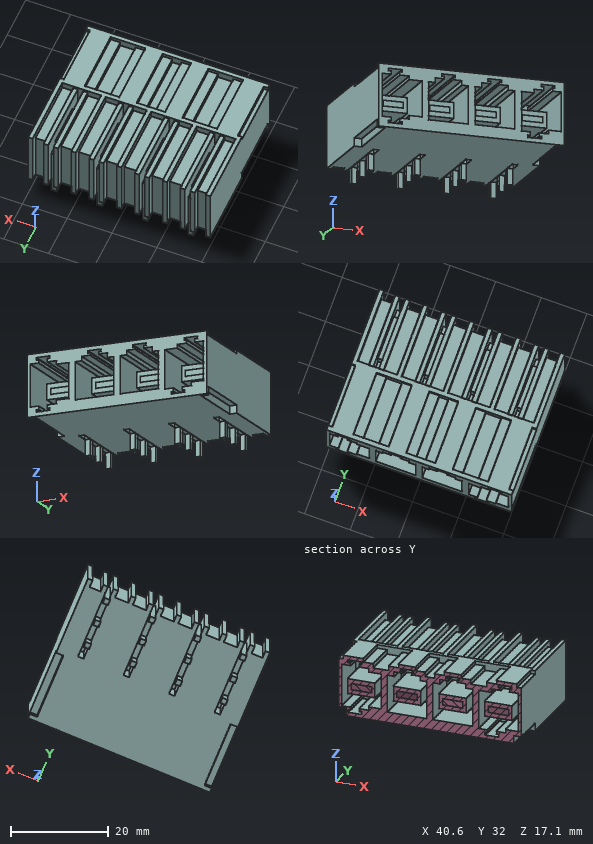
import cadquery as cq
width = 40.65
length = 32.0
height = 13.6
total_height = 17.1
pitch = 10.15
pole_count = 4
wall = 1.0
top = height / 2
bottom = -height / 2

recess_start = wall
recess_end = 15.0
shelf_depth = 0.77
trough_depth = 1.75
side_recess_width = 0.95
bottom_recess_width = 1.63
bottom_recess_height = 1.75
centre_shelf_width = 6.35
centre_trough_width = 2.05
side_shelf_inner = 7.05
side_shelf_outer = 14.75
side_trough_inner = 9.2
side_trough_outer = 12.6

chamber_end = recess_end
chamber_half_width = 4.35
chamber_roof = 3.85
inner_step_roof = 4.85
inner_step_half_width = 2.9
inner_floor = -4.35
outer_step_roof = 4.65
outer_step_edge = 1.6
coding_neck_width = 1.95
coding_head_width = 2.95
coding_head_base = 5.35
coding_head_top = 5.85
outer_coding_offset = -1.45

collar_width = 6.15
collar_height = 3.4
collar_tip = 5.45

rear_start = recess_end + wall
well_depth = 1.55
rib_drop = 0.5
core_end = length - 1.55

plate_thickness = 1.2
blade_width = 4.45
blade_thickness = 1.25
blade_tip = collar_tip
plate_back = length - 1.7
shoulder_start = length - 3.7
plate_front = length - 13.13
plate_top = 3.25
shoulder_top = 1.63
pin_size = 1.18
pin_length = total_height - height
pin_spacing = 5.05
pin_count = 3

pole_positions = [(i - (pole_count - 1) / 2) * pitch for i in range(pole_count)]


def block(x_range, y_range, z_range):
    """Box spanning the given (low, high) range on each axis."""
    spans = [high - low for low, high in (x_range, y_range, z_range)]
    return cq.Workplane("XY").box(*spans, centered=False).translate((x_range[0], y_range[0], z_range[0]))


def centred(width_across, middle=0.0):
    """Range of the given width about a middle value."""
    return (middle - width_across / 2, middle + width_across / 2)


def coding_slot(middle):
    """T-shaped coding slot above the chamber, centred on the given X."""
    depth = (0, chamber_end)
    neck = block(centred(coding_neck_width, middle), depth, (chamber_roof, coding_head_base))
    head = block(centred(coding_head_width, middle), depth, (coding_head_base, coding_head_top))
    return neck.union(head)


def inner_chamber():
    """Chamber of the two middle poles: a flat floor and a centred step in the roof."""
    depth = (0, chamber_end)
    main = block(centred(2 * chamber_half_width), depth, (inner_floor, chamber_roof))
    step = block(centred(2 * inner_step_half_width), depth, (chamber_roof, inner_step_roof))
    return main.union(step).union(coding_slot(0))


def outer_chamber_half():
    """Upper half of an end pole's chamber, with the step and coding slot on the -X side."""
    depth = (0, chamber_end)
    main = block(centred(2 * chamber_half_width), depth, (0, chamber_roof))
    step = block((-chamber_half_width, outer_step_edge), depth, (chamber_roof, outer_step_roof))
    return main.union(step).union(coding_slot(outer_coding_offset))


def chambers():
    """Chambers of all poles; the last one has its upper half mirrored left to right."""
    upper = outer_chamber_half()
    lower = upper.mirror("XY")
    first = upper.union(lower)
    last = upper.mirror("YZ").union(lower)
    shapes = [first] + [inner_chamber()] * (pole_count - 2) + [last]
    return [shape.translate((x, 0, 0)) for shape, x in zip(shapes, pole_positions)]


def outside_recesses():
    """Stepped recesses in the top face and the notches along the side edges."""
    span = (recess_start, recess_end)
    shelf = (top - shelf_depth, top)
    trough = (top - trough_depth, top)
    cuts = [
        block(centred(centre_shelf_width), span, shelf),
        block(centred(centre_trough_width), span, trough),
    ]
    right_cuts = [
        block((side_shelf_inner, side_shelf_outer), span, shelf),
        block((side_trough_inner, side_trough_outer), span, trough),
        block((width / 2 - side_recess_width, width / 2), span, shelf),
        block((width / 2 - bottom_recess_width, width / 2), span, (bottom, bottom + bottom_recess_height)),
    ]
    for cut in right_cuts:
        cuts += [cut, cut.mirror("YZ")]
    return cuts


def rear_ribs():
    """Walls between the poles and a pair of slightly lower ribs along each contact slot."""
    full = (rear_start, length)
    tall = (bottom, top)
    lowered = (bottom, top - rib_drop)
    ribs = []
    for x in pole_positions:
        for side in (-1, 1):
            ribs.append(block(centred(wall, x + side * (plate_thickness + wall) / 2), full, lowered))
    for i in range(1, pole_count):
        ribs.append(block(centred(wall, -width / 2 + i * pitch), full, tall))
    edge = block((width / 2 - wall, width / 2), full, tall)
    return ribs + [edge, edge.mirror("YZ")]


def make_housing():
    """Moulded housing with its chambers, recesses, ribs, collars and contact openings."""
    body = block(centred(width), (0, rear_start), (bottom, top))
    body = body.union(block(centred(width), (rear_start, core_end), (bottom, top - well_depth)))
    for rib in rear_ribs():
        body = body.union(rib)
    for cut in chambers() + outside_recesses():
        body = body.cut(cut)
    for x in pole_positions:
        collar = block(centred(collar_width, x), (collar_tip, recess_end), centred(collar_height))
        blade_hole = block(centred(blade_width, x), (collar_tip, rear_start), centred(blade_thickness))
        slot = block(centred(plate_thickness, x), (rear_start, length), (bottom, top))
        body = body.union(collar).cut(blade_hole).cut(slot)
    return body


def make_contact(x):
    """Contact at the given X: a flat blade, an upright plate and a row of solder pins."""
    blade = block(centred(blade_width, x), (blade_tip, rear_start), centred(blade_thickness))
    arm_top = blade_thickness / 2
    plate = (
        cq.Workplane("YZ")
        .moveTo(rear_start, -arm_top)
        .lineTo(rear_start, arm_top)
        .lineTo(plate_front, arm_top)
        .lineTo(plate_front, plate_top)
        .lineTo(shoulder_start, plate_top)
        .lineTo(shoulder_start, shoulder_top)
        .lineTo(plate_back, shoulder_top)
        .lineTo(plate_back, bottom)
        .lineTo(plate_front, bottom)
        .lineTo(plate_front, -arm_top)
        .close()
        .extrude(plate_thickness / 2, both=True)
        .translate((x, 0, 0))
    )
    contact = blade.union(plate)
    for i in range(pin_count):
        pin_back = plate_back - i * pin_spacing
        pin = block(centred(pin_size, x), (pin_back - pin_size, pin_back), (bottom - pin_length, bottom))
        contact = contact.union(pin)
    return contact


housing = make_housing()
contacts = [make_contact(x) for x in pole_positions]

result = cq.Compound.makeCompound([housing.val(), *[contact.val() for contact in contacts]])